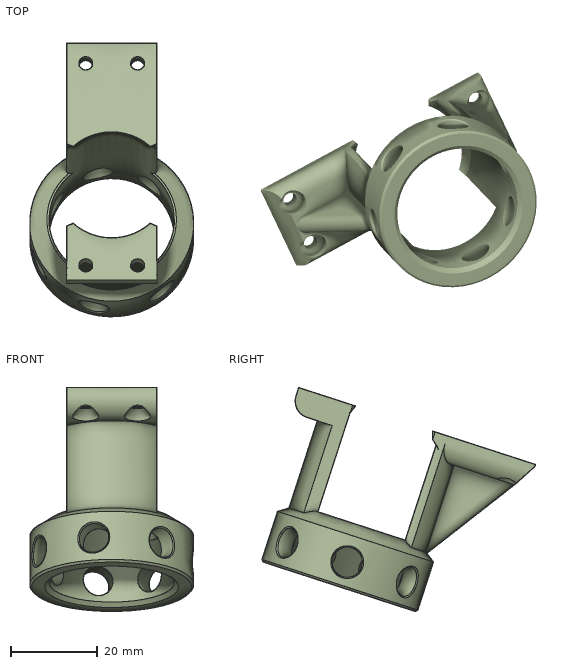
import cadquery as cq
import math

LEAN_ANGLE = 18.0

RING_RADIUS = 38.0 / 2
BORE_RADIUS = 29.0 / 2
RING_HEIGHT = 15.0
RING_TOP_RADIUS = 15.0
RING_WALL_HEIGHT = 12.2
RING_EDGE_CHAMFER = 0.5
BORE_CHAMFER = 1.0

RADIAL_HOLE_COUNT = 7
RADIAL_HOLE_RADIUS = 7.0 / 2
RADIAL_HOLE_HEIGHT = 6.0
RADIAL_HOLE_CHAMFER = 0.3
RADIAL_HOLE_START = BORE_RADIUS - 1.0

ARM_WIDTH = 20.9
STRUT_CORNER_RADIUS = 0.9
STRUT_RADIUS = 16.75
TOP_HEIGHT = 41.0
FLANGE_THICKNESS = 6.0
FLANGE_ROUNDING = 4.0
LIP_RADIUS = 12.9
LIP_TIP_X = 8.9
LIP_BEVEL_ANGLE = 24.0
LIP_CONE_ANGLE = 50.0
FRONT_REACH = 23.2
BACK_REACH = 34.5
BACK_EDGE_HEIGHT = 0.5
BACK_END_ANGLE = 60.0

SCREW_RADIUS = 3.2 / 2
SCREW_SPACING = 12.0
SCREW_HEAD_RADIUS = 6.0 / 2
SCREW_HEAD_SEAT = 3.0
FRONT_SCREW_REACH = 19.6
BACK_SCREW_REACH = 29.6

WEB_THICKNESS = 4.0
WEB_EDGE_FLAT = 0.02
WEB_TOP_REACH = 31.3
WEB_FOOT_HEIGHT = 13.4

HALF_WIDTH = ARM_WIDTH / 2
LIP_CONE_SLOPE = math.tan(math.radians(LIP_CONE_ANGLE))
FLANGE_BOTTOM = TOP_HEIGHT - FLANGE_THICKNESS


def make_ring_blank():
    """Ring without its bore."""
    profile = [
        (0, 0),
        (RING_RADIUS - RING_EDGE_CHAMFER, 0),
        (RING_RADIUS, RING_EDGE_CHAMFER),
        (RING_RADIUS, RING_WALL_HEIGHT),
        (RING_TOP_RADIUS, RING_HEIGHT),
        (0, RING_HEIGHT),
    ]
    return cq.Workplane("XZ").polyline(profile).close().revolve(360, (0, 0), (0, 1))


def drill_radial_holes(body):
    hole = (
        cq.Workplane("YZ", origin=(RADIAL_HOLE_START, 0, 0))
        .center(0, RADIAL_HOLE_HEIGHT)
        .circle(RADIAL_HOLE_RADIUS)
        .extrude(RING_RADIUS)
    )
    for index in range(RADIAL_HOLE_COUNT):
        angle = index * 360 / RADIAL_HOLE_COUNT
        body = body.cut(hole.rotate((0, 0, 0), (0, 0, 1), angle))
    mouths = [
        edge
        for edge in body.edges().vals()
        if edge.geomType() not in ("CIRCLE", "LINE")
        and math.hypot(edge.startPoint().x, edge.startPoint().y) > RING_TOP_RADIUS
    ]
    return body.newObject(mouths).chamfer(RADIAL_HOLE_CHAMFER)


def make_strut_blank(side, sharp_corner=False):
    """Strut with inner corners rounded tangent to the bore; the bore itself is still filled.

    With `sharp_corner` the +X inner corner is left sharp.
    """
    round_x = HALF_WIDTH - STRUT_CORNER_RADIUS
    round_distance = BORE_RADIUS + STRUT_CORNER_RADIUS
    round_y = math.sqrt(round_distance**2 - round_x**2)
    touch_x = round_x * BORE_RADIUS / round_distance
    touch_y = round_y * BORE_RADIUS / round_distance
    middle_angle = (math.atan2(round_y, round_x) - math.pi) / 2
    middle_x = round_x + STRUT_CORNER_RADIUS * math.cos(middle_angle)
    middle_y = round_y + STRUT_CORNER_RADIUS * math.sin(middle_angle)
    sharp_y = math.sqrt(BORE_RADIUS**2 - HALF_WIDTH**2)

    outline = (
        cq.Workplane("XY", origin=(0, 0, RING_WALL_HEIGHT))
        .moveTo(HALF_WIDTH, side * RING_RADIUS)
        .lineTo(-HALF_WIDTH, side * RING_RADIUS)
        .lineTo(-HALF_WIDTH, side * round_y)
        .threePointArc((-middle_x, side * middle_y), (-touch_x, side * touch_y))
    )
    if sharp_corner:
        outline = outline.lineTo(HALF_WIDTH, side * sharp_y)
    else:
        outline = (
            outline.lineTo(touch_x, side * touch_y)
            .threePointArc((middle_x, side * middle_y), (HALF_WIDTH, side * round_y))
        )
    column = cq.Workplane("XY").circle(STRUT_RADIUS).extrude(TOP_HEIGHT)
    return outline.close().extrude(TOP_HEIGHT - RING_WALL_HEIGHT).intersect(column)


def make_flange_blank(reach, side):
    """Flange plate with bevelled inner corners; the lip is still filled."""
    tip_y = math.sqrt(LIP_RADIUS**2 - LIP_TIP_X**2)
    bevel_y = tip_y + (HALF_WIDTH - LIP_TIP_X) * math.tan(math.radians(LIP_BEVEL_ANGLE))
    outline = [
        (-LIP_TIP_X, side * tip_y),
        (LIP_TIP_X, side * tip_y),
        (HALF_WIDTH, side * bevel_y),
        (HALF_WIDTH, side * reach),
        (-HALF_WIDTH, side * reach),
        (-HALF_WIDTH, side * bevel_y),
    ]
    plate = cq.Workplane("XY", origin=(0, 0, FLANGE_BOTTOM)).polyline(outline).close()
    return plate.extrude(FLANGE_THICKNESS)


def make_lip_cutter():
    """Cone flaring downward from the lip, continued by a cylinder inside the strut radius."""
    cone_foot = TOP_HEIGHT - (STRUT_RADIUS - LIP_RADIUS) * LIP_CONE_SLOPE
    profile = [
        (0, FLANGE_BOTTOM),
        (STRUT_RADIUS, FLANGE_BOTTOM),
        (STRUT_RADIUS, cone_foot),
        (LIP_RADIUS, TOP_HEIGHT),
        (0, TOP_HEIGHT),
    ]
    return cq.Workplane("XZ").polyline(profile).close().revolve(360, (0, 0), (0, 1))


def make_bore_cutter():
    """Bore with its bottom chamfer, stopping under the cone of the flange lips."""
    profile = [
        (0, 0),
        (BORE_RADIUS + BORE_CHAMFER, 0),
        (BORE_RADIUS, BORE_CHAMFER),
        (BORE_RADIUS, TOP_HEIGHT - (BORE_RADIUS - LIP_RADIUS) * LIP_CONE_SLOPE),
        (LIP_RADIUS, TOP_HEIGHT),
        (0, TOP_HEIGHT),
    ]
    return cq.Workplane("XZ").polyline(profile).close().revolve(360, (0, 0), (0, 1))


def make_front_flange():
    flange = make_flange_blank(FRONT_REACH, -1)
    return flange.faces("<Y").edges("<Z").fillet(FLANGE_ROUNDING).cut(make_lip_cutter())


def make_back_flange():
    """Plate with rounded lower sides behind the strut and a slanted end."""
    strut_side_y = math.sqrt(STRUT_RADIUS**2 - HALF_WIDTH**2)
    end_run = (FLANGE_THICKNESS - BACK_EDGE_HEIGHT) / math.tan(math.radians(BACK_END_ANGLE))
    tail = (
        cq.Workplane("YZ")
        .moveTo(strut_side_y, FLANGE_BOTTOM)
        .lineTo(strut_side_y, TOP_HEIGHT)
        .lineTo(BACK_REACH, TOP_HEIGHT)
        .lineTo(BACK_REACH, TOP_HEIGHT - BACK_EDGE_HEIGHT)
        .lineTo(BACK_REACH - end_run, FLANGE_BOTTOM)
        .close()
        .extrude(HALF_WIDTH, both=True)
        .edges("|Y and <Z")
        .fillet(FLANGE_ROUNDING)
    )
    return make_flange_blank(strut_side_y, 1).union(tail).cut(make_lip_cutter())


def make_web():
    inner = (BORE_RADIUS + STRUT_RADIUS) / 2
    web = (
        cq.Workplane("YZ")
        .moveTo(inner, WEB_FOOT_HEIGHT)
        .lineTo(STRUT_RADIUS, WEB_FOOT_HEIGHT)
        .lineTo(WEB_TOP_REACH, FLANGE_BOTTOM)
        .lineTo(inner, FLANGE_BOTTOM)
        .close()
        .extrude(WEB_THICKNESS / 2, both=True)
    )
    slant = cq.Vector(0, WEB_TOP_REACH - STRUT_RADIUS, FLANGE_BOTTOM - WEB_FOOT_HEIGHT)
    edge_radius = (WEB_THICKNESS - WEB_EDGE_FLAT) / 2
    return web.edges(cq.selectors.ParallelDirSelector(slant)).fillet(edge_radius)


def drill_screw_holes(body, y):
    seat = TOP_HEIGHT - SCREW_HEAD_SEAT
    positions = [(-SCREW_SPACING / 2, y), (SCREW_SPACING / 2, y)]
    for radius, bottom, top in (
        (SCREW_RADIUS, seat, TOP_HEIGHT),
        (SCREW_HEAD_RADIUS, FLANGE_BOTTOM, seat),
    ):
        layer = cq.Workplane("XY", origin=(0, 0, bottom)).pushPoints(positions)
        body = body.cut(layer.circle(radius).extrude(top - bottom))
    return body


front_flange = drill_screw_holes(make_front_flange(), -FRONT_SCREW_REACH)
back_flange = drill_screw_holes(make_back_flange(), BACK_SCREW_REACH)

upright = drill_radial_holes(make_ring_blank())
upright = upright.union(make_strut_blank(-1, sharp_corner=True)).union(make_strut_blank(1))
upright = upright.union(front_flange).union(back_flange).union(make_web())
upright = upright.cut(make_bore_cutter())

result = upright.rotate((0, 0, 0), (1, 0, 0), -LEAN_ANGLE)